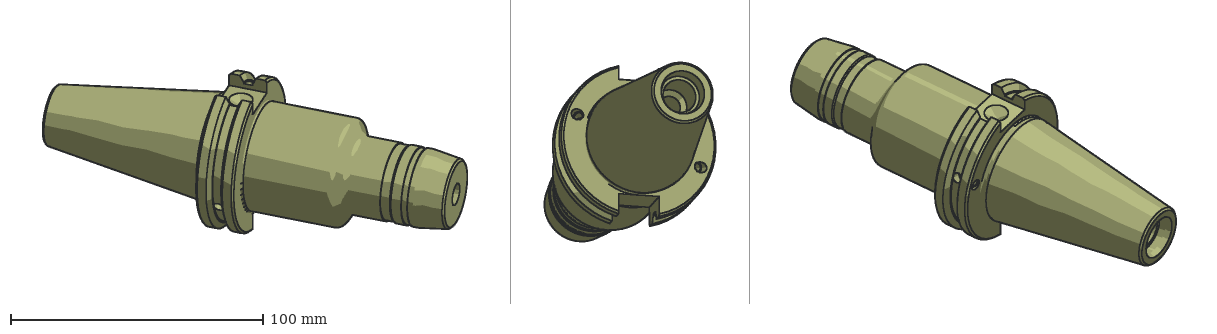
import cadquery as cq
import math


length = 169.8

taper_end_radius = 12.5
taper_edge_chamfer = 0.8
taper_length = 68.5
taper_big_radius = 22.3
relief_start = 69.8
relief_radius = 43.7 / 2
relief_fillet = 0.7

flange_start = 71.3
flange_end = 87.3
flange_radius = 31.6
flange_chamfer = 0.8
groove_center = (flange_start + flange_end) / 2
groove_floor_radius = 28.2
groove_floor_width = 3.7
vee_bottom_radius = 28.9
vee_half_angle = 30.0

body_radius = 22.3
body_root_fillet = 0.8
neck_radius = 16.0
shoulder_end = 128.4
shoulder_angle = 60.0
shoulder_fillet = 2.5
neck_fillet = 2.9

nose_groove_radius = 31.0 / 2
wide_groove_start = 143.5
wide_groove_end = 147.5
groove_edge_length = 0.7
narrow_groove_start = 152.4
narrow_groove_end = 154.9
tip_taper_start = 157.3
tip_radius = 14.3
tip_chamfer = 0.8

bore_radius = 4.5
mouth_radius = 8.8
thread_radius = 8.2
mouth_depth = 2.5
thread_depth = 5.6
pilot_radius = 13.5 / 2
pilot_depth = 20.4
drill_point_angle = 118.0

slot_width = 16.5
upper_slot_floor = 24.8
lower_slot_floor = 22.5
dimple_radius = 4.8

coolant_angle = 20.0
coolant_face_radius = 26.8
coolant_radius = 1.61
coolant_entry_radius = 4.2 / 2
coolant_entry_depth = 2.0
coolant_slant = 30.0
coolant_length = 10.2
coolant_overrun = 1.7
plug_hole_radius = 2.0
plug_hole_depth = 4.2


def drill_point_depth(big_radius, small_radius=0.0):
    """Length of the cone a drill point leaves between two radii."""
    return (big_radius - small_radius) / math.tan(math.radians(drill_point_angle / 2))


def make_outer_body():
    """Revolved outer shape of the whole holder."""
    vee_half_bottom = groove_floor_width / 2
    vee_rise = (flange_radius - vee_bottom_radius) * math.tan(math.radians(vee_half_angle))
    vee_half_top = vee_half_bottom + vee_rise

    shoulder = math.radians(shoulder_angle)
    cos_s = math.cos(shoulder)
    sin_s = math.sin(shoulder)
    shoulder_start = shoulder_end - (body_radius - neck_radius) / math.tan(shoulder)
    outer_tangent = shoulder_fillet * math.tan(shoulder / 2)
    inner_tangent = neck_fillet * math.tan(shoulder / 2)

    outer_arc_start = shoulder_start - outer_tangent
    outer_arc_mid = (
        outer_arc_start + shoulder_fillet * math.sin(shoulder / 2),
        body_radius - shoulder_fillet * (1 - math.cos(shoulder / 2)),
    )
    outer_arc_end = (shoulder_start + outer_tangent * cos_s, body_radius - outer_tangent * sin_s)
    inner_arc_start = (shoulder_end - inner_tangent * cos_s, neck_radius + inner_tangent * sin_s)
    inner_arc_end = shoulder_end + inner_tangent
    inner_arc_mid = (
        inner_arc_end - neck_fillet * math.sin(shoulder / 2),
        neck_radius + neck_fillet * (1 - math.cos(shoulder / 2)),
    )

    profile = (
        cq.Workplane("XY")
        .moveTo(0, 0)
        .lineTo(0, taper_end_radius - taper_edge_chamfer)
        .lineTo(taper_edge_chamfer, taper_end_radius)
        .lineTo(taper_length, taper_big_radius)
        .lineTo(relief_start, relief_radius)
        .lineTo(flange_start - relief_fillet, relief_radius)
        .radiusArc((flange_start, relief_radius + relief_fillet), -relief_fillet)
        .lineTo(flange_start, flange_radius - flange_chamfer)
        .lineTo(flange_start + flange_chamfer, flange_radius)
        .lineTo(groove_center - vee_half_top, flange_radius)
        .lineTo(groove_center - vee_half_bottom, vee_bottom_radius)
        .lineTo(groove_center - vee_half_bottom, groove_floor_radius)
        .lineTo(groove_center + vee_half_bottom, groove_floor_radius)
        .lineTo(groove_center + vee_half_bottom, vee_bottom_radius)
        .lineTo(groove_center + vee_half_top, flange_radius)
        .lineTo(flange_end - flange_chamfer, flange_radius)
        .lineTo(flange_end, flange_radius - flange_chamfer)
        .lineTo(flange_end, body_radius + body_root_fillet)
        .radiusArc((flange_end + body_root_fillet, body_radius), -body_root_fillet)
        .lineTo(outer_arc_start, body_radius)
        .threePointArc(outer_arc_mid, outer_arc_end)
        .lineTo(*inner_arc_start)
        .threePointArc(inner_arc_mid, (inner_arc_end, neck_radius))
        .lineTo(wide_groove_start, neck_radius)
        .lineTo(wide_groove_start, nose_groove_radius)
        .lineTo(wide_groove_end, nose_groove_radius)
        .lineTo(wide_groove_end + groove_edge_length, neck_radius)
        .lineTo(narrow_groove_start, neck_radius)
        .lineTo(narrow_groove_start, nose_groove_radius)
        .lineTo(narrow_groove_end, nose_groove_radius)
        .lineTo(narrow_groove_end, neck_radius)
        .lineTo(tip_taper_start, neck_radius)
        .lineTo(length - tip_chamfer, tip_radius)
        .lineTo(length, tip_radius - tip_chamfer)
        .lineTo(length, 0)
        .close()
    )
    return profile.revolve(360, (0, 0, 0), (1, 0, 0))


def make_bore():
    """Stepped bore: flared mouth, thread, pilot with drill point, through hole."""
    pilot_point_end = pilot_depth + drill_point_depth(pilot_radius, bore_radius)
    profile = (
        cq.Workplane("XY")
        .moveTo(0, 0)
        .lineTo(0, mouth_radius)
        .lineTo(mouth_depth, thread_radius)
        .lineTo(thread_depth, thread_radius)
        .lineTo(thread_depth, pilot_radius)
        .lineTo(pilot_depth, pilot_radius)
        .lineTo(pilot_point_end, bore_radius)
        .lineTo(length, bore_radius)
        .lineTo(length, 0)
        .close()
    )
    return profile.revolve(360, (0, 0, 0), (1, 0, 0))


def make_drive_slot(floor, side):
    """Slot across the flange, open outwards; side is 1 for +Z and -1 for -Z."""
    height = flange_radius - floor
    return cq.Workplane("XY").box(flange_end - flange_start, slot_width, height).translate(
        (groove_center, 0, side * (floor + height / 2))
    )


def make_dimple():
    """Conical drill spot in the floor of the upper slot."""
    cone = cq.Solid.makeCone(
        dimple_radius,
        0,
        drill_point_depth(dimple_radius),
        pnt=cq.Vector(groove_center, 0, upper_slot_floor),
        dir=cq.Vector(0, 0, -1),
    )
    return cq.Workplane(cone)


def make_coolant_hole():
    """Stepped slanted hole from the flange face, met by a radial plug hole from the V groove."""
    slant = math.radians(coolant_slant)
    direction = cq.Vector(math.cos(slant), -math.sin(slant), 0)
    entry = cq.Vector(flange_start, coolant_face_radius, 0)
    start = entry - direction * coolant_overrun

    def slanted_cylinder(radius, depth):
        return cq.Workplane(
            cq.Solid.makeCylinder(radius, depth + coolant_overrun, pnt=start, dir=direction)
        )

    plug_hole = cq.Solid.makeCylinder(
        plug_hole_radius,
        plug_hole_depth,
        pnt=cq.Vector(groove_center, groove_floor_radius, 0),
        dir=cq.Vector(0, -1, 0),
    )
    hole = slanted_cylinder(coolant_radius, coolant_length)
    hole = hole.union(slanted_cylinder(coolant_entry_radius, coolant_entry_depth))
    return hole.union(cq.Workplane(plug_hole))


result = make_outer_body().cut(make_bore())
result = result.cut(make_drive_slot(upper_slot_floor, 1))
result = result.cut(make_drive_slot(lower_slot_floor, -1))
result = result.cut(make_dimple())
for half_turn in (0, 180):
    coolant_hole = make_coolant_hole().rotate((0, 0, 0), (1, 0, 0), coolant_angle + half_turn)
    result = result.cut(coolant_hole)